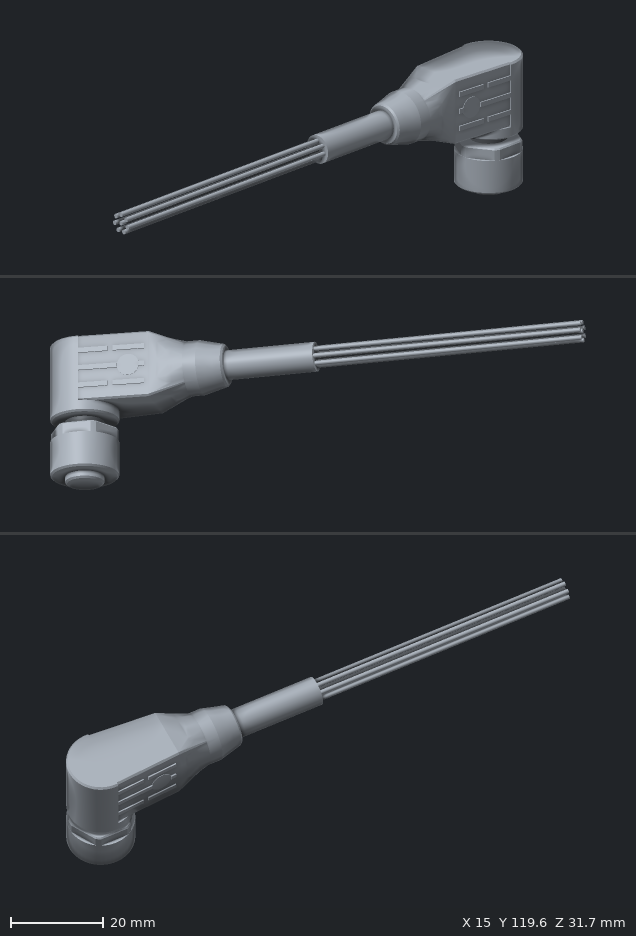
import cadquery as cq
import math


HEAD_RADIUS = 7.5
BLOCK_HEIGHT = 15.0
TOP_Z = BLOCK_HEIGHT / 2
BLOCK_BOTTOM_Z = -BLOCK_HEIGHT / 2
TAPER_ANGLE = math.radians(4.2)
BLOCK_END_Y = -16.0
PANEL_DEPTH = 0.3
BLOCK_CHAMFER = 0.4

RIB_WIDTH = 1.1
RIB_PITCH = 4.0
RIB_END_Y = -15.1
NOTCH_WIDTH = 1.2
NOTCH_Y = -7.6
DISC_RADIUS = 2.4
DISC_Y = -11.5
DISC_HEIGHT = 0.1

RELIEF_RADIUS = 6.0
RELIEF_START_Y = -23.6
RELIEF_CONE_Y = -26.5
RELIEF_END_Y = -32.1
RELIEF_END_RADIUS = 4.7
RELIEF_CHAMFER = 0.4
RELIEF_CORNER_ANGLE = math.radians(48.0)
RELIEF_CORNER_SPREAD = math.radians(1.5)

JACKET_RADIUS = 3.25
JACKET_LENGTH = 20.0
WIRE_LENGTH = 60.0
WIRE_RADIUS = 0.5
WIRE_RING_RADIUS = 2.0
OUTER_WIRES = 7

BARREL_BOTTOM_Z = TOP_Z - 17.5
NUT_TOP_Z = TOP_Z - 19.5
GRIP_TOP_Z = TOP_Z - 22.2
NUT_BOTTOM_Z = TOP_Z - 30.1
PLUG_BOTTOM_Z = TOP_Z - 31.7
NECK_RADIUS = 4.25
HEX_ACROSS_FLATS = 13.5
HEX_CORNER_RADIUS = 7.45
HEX_CHAMFER = 0.3
EDGE_CHAMFER = 0.4

TANGENT_X = HEAD_RADIUS * math.cos(TAPER_ANGLE)
TANGENT_Y = -HEAD_RADIUS * math.sin(TAPER_ANGLE)


def side_x(y, recess=0.0):
    """Half width of the tapered block at a given Y, less a recess."""
    return TANGENT_X - recess - (TANGENT_Y - y) * math.tan(TAPER_ANGLE)


BLOCK_END_X = side_x(BLOCK_END_Y, PANEL_DEPTH)


def cylinder_z(radius, bottom, top):
    return cq.Workplane("XY").workplane(offset=bottom).circle(radius).extrude(top - bottom)


def cylinder_y(radius, start, end, x=0.0, z=0.0):
    """Round bar from Y = start towards -Y, ending at Y = end."""
    plane = cq.Workplane("XZ", origin=(0, start, 0))
    return plane.center(x, z).circle(radius).extrude(start - end)


def make_block():
    """Round head with a tapered tail whose sides are recessed panels."""
    head = cylinder_z(HEAD_RADIUS, BLOCK_BOTTOM_Z, TOP_Z).faces(">Z").edges().chamfer(BLOCK_CHAMFER)
    head_zone = cq.Workplane("XY").box(2 * HEAD_RADIUS, 2 * HEAD_RADIUS, BLOCK_HEIGHT)
    head = head.intersect(head_zone.translate((0, TANGENT_Y + HEAD_RADIUS, 0)))
    tail_start_x = side_x(0, PANEL_DEPTH)
    tail = (
        cq.Workplane("XY")
        .polyline([
            (-tail_start_x, 0),
            (tail_start_x, 0),
            (BLOCK_END_X, BLOCK_END_Y),
            (-BLOCK_END_X, BLOCK_END_Y),
        ])
        .close()
        .extrude(BLOCK_HEIGHT / 2, both=True)
    )
    tail = tail.edges("(not |X) and (not |Z)").chamfer(BLOCK_CHAMFER)
    return head.union(tail)


def make_side_slab(recess):
    """Full-height wedge between the head and the rib ends, its sides set in by a recess."""
    start_x = TANGENT_X - recess
    end_x = side_x(RIB_END_Y, recess)
    corners = [(-start_x, TANGENT_Y), (start_x, TANGENT_Y), (end_x, RIB_END_Y), (-end_x, RIB_END_Y)]
    return cq.Workplane("XY").polyline(corners).close().extrude(BLOCK_HEIGHT / 2, both=True)


def make_rib_bar(start_y, end_y, z):
    """Rib stretch spanning both sides of the block."""
    bar = cq.Workplane("XY").box(2 * HEAD_RADIUS, start_y - end_y, RIB_WIDTH)
    return bar.translate((0, (start_y + end_y) / 2, z))


def make_ribs():
    """Three ribs per side, the middle one crossed by a lower disc, the others notched."""
    disc = cq.Workplane("YZ").center(DISC_Y, 0).circle(DISC_RADIUS).extrude(HEAD_RADIUS, both=True)
    bars = make_rib_bar(TANGENT_Y, RIB_END_Y, 0).cut(disc)
    for z in (-RIB_PITCH, RIB_PITCH):
        bars = bars.union(make_rib_bar(TANGENT_Y, NOTCH_Y + NOTCH_WIDTH / 2, z))
        bars = bars.union(make_rib_bar(NOTCH_Y - NOTCH_WIDTH / 2, RIB_END_Y, z))
    ribs = make_side_slab(0).intersect(bars)
    return ribs.union(make_side_slab(PANEL_DEPTH - DISC_HEIGHT).intersect(disc))


def relief_point(angle):
    return (RELIEF_RADIUS * math.cos(angle), RELIEF_RADIUS * math.sin(angle))


def make_transition():
    """Ruled blend from the chamfered rectangular block end to the round strain relief.

    Each block chamfer narrows to a short arc of the circle and each block side becomes a long arc.
    """
    chamfer_x = BLOCK_END_X - BLOCK_CHAMFER
    chamfer_z = TOP_Z - BLOCK_CHAMFER
    block_corners = [
        (BLOCK_END_X, chamfer_z),
        (chamfer_x, TOP_Z),
        (-chamfer_x, TOP_Z),
        (-BLOCK_END_X, chamfer_z),
        (-BLOCK_END_X, -chamfer_z),
        (-chamfer_x, -TOP_Z),
        (chamfer_x, -TOP_Z),
        (BLOCK_END_X, -chamfer_z),
    ]
    low = RELIEF_CORNER_ANGLE - RELIEF_CORNER_SPREAD
    high = RELIEF_CORNER_ANGLE + RELIEF_CORNER_SPREAD
    turn = 2 * math.pi
    arc_ends = [
        low,
        high,
        math.pi - high,
        math.pi - low,
        math.pi + low,
        math.pi + high,
        turn - high,
        turn - low,
        turn + low,
    ]
    blend = cq.Workplane("XZ", origin=(0, BLOCK_END_Y, 0)).polyline(block_corners).close()
    blend = blend.workplane(offset=BLOCK_END_Y - RELIEF_START_Y).moveTo(*relief_point(low))
    for start, end in zip(arc_ends, arc_ends[1:]):
        blend = blend.threePointArc(relief_point((start + end) / 2), relief_point(end))
    return blend.close().loft(ruled=True)


def make_strain_relief():
    """Short cylinder and cone around the cable, with a chamfered end."""
    profile = [
        (0, RELIEF_START_Y),
        (RELIEF_RADIUS, RELIEF_START_Y),
        (RELIEF_RADIUS, RELIEF_CONE_Y),
        (RELIEF_END_RADIUS, RELIEF_END_Y + RELIEF_CHAMFER),
        (RELIEF_END_RADIUS - RELIEF_CHAMFER, RELIEF_END_Y),
        (0, RELIEF_END_Y),
    ]
    return cq.Workplane("XY").polyline(profile).close().revolve(360, (0, 0, 0), (0, 1, 0))


def make_cable():
    """Jacket with one central wire and a ring of wires around it."""
    jacket_end = RELIEF_END_Y - JACKET_LENGTH
    wire_end = jacket_end - WIRE_LENGTH
    cable = cylinder_y(JACKET_RADIUS, RELIEF_END_Y, jacket_end)
    cable = cable.union(cylinder_y(WIRE_RADIUS, jacket_end, wire_end))
    for index in range(OUTER_WIRES):
        angle = math.pi / 2 + index * 2 * math.pi / OUTER_WIRES
        x = WIRE_RING_RADIUS * math.cos(angle)
        z = WIRE_RING_RADIUS * math.sin(angle)
        cable = cable.union(cylinder_y(WIRE_RADIUS, jacket_end, wire_end, x, z))
    return cable


def make_plug():
    """Barrel under the block, neck, coupling nut with hexagon, and plug tip."""
    barrel = cylinder_z(HEAD_RADIUS, BARREL_BOTTOM_Z, BLOCK_BOTTOM_Z)
    barrel = barrel.faces("<Z").edges().chamfer(EDGE_CHAMFER)
    core = cylinder_z(NECK_RADIUS, PLUG_BOTTOM_Z, BARREL_BOTTOM_Z)
    core = core.faces("<Z").edges().chamfer(EDGE_CHAMFER)
    grip = cylinder_z(HEAD_RADIUS, NUT_BOTTOM_Z, GRIP_TOP_Z)
    grip = grip.faces("<Z").edges().chamfer(EDGE_CHAMFER)
    hexagon = (
        cq.Workplane("XY")
        .workplane(offset=GRIP_TOP_Z)
        .polygon(6, HEX_ACROSS_FLATS, circumscribed=True)
        .extrude(NUT_TOP_Z - GRIP_TOP_Z)
    )
    hex_limit = cylinder_z(HEX_CORNER_RADIUS, GRIP_TOP_Z, NUT_TOP_Z)
    hexagon = hexagon.intersect(hex_limit).faces(">Z").edges().chamfer(HEX_CHAMFER)
    return barrel.union(core).union(grip).union(hexagon)


result = (
    make_block()
    .union(make_ribs())
    .union(make_transition())
    .union(make_strain_relief())
    .union(make_cable())
    .union(make_plug())
)